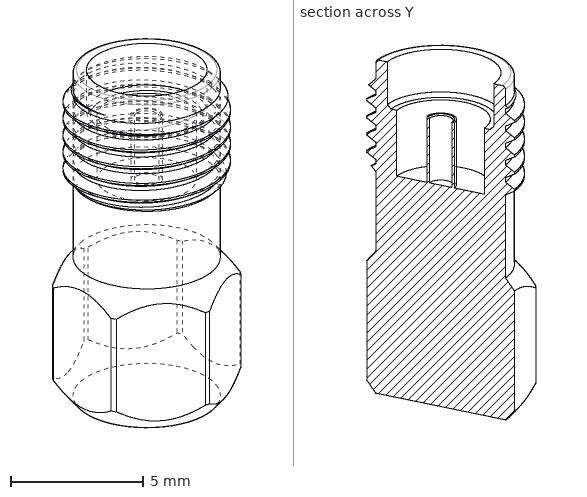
import cadquery as cq
import math

TOTAL_HEIGHT = 13.72
HEX_HEIGHT = 5.85
THREAD_BOTTOM = 9.11
THREAD_TOP = 12.92

ACROSS_FLATS = 6.35
HEX_CORNER_DIAMETER = 7.22
HEX_CHAMFER_ANGLE = 50.0

NECK_DIAMETER = 5.58
RIM_FILLET = 0.13

THREAD_DIAMETER = ACROSS_FLATS
PITCHES_PER_DIAMETER = 9
THREAD_PITCH = THREAD_DIAMETER / PITCHES_PER_DIAMETER
THREAD_FLANK_ANGLE = 30.0
CREST_LEVEL_AT_X = 9.86
CREST_WIDTH = THREAD_PITCH / 8
CREST_OVERRUN = 0.05
ROOT_OVERLAP = 0.05

BORE_DIAMETER = 4.57
LEDGE_DIAMETER = 4.25
BORE_DEPTH = 1.91
BORE_CHAMFER = (BORE_DIAMETER - LEDGE_DIAMETER) / 2
CAVITY_DIAMETER = 3.76
CAVITY_FLOOR = THREAD_BOTTOM

PIN_DIAMETER = 1.2
PIN_HOLE_DIAMETER = 0.95
PIN_HOLE_CHAMFER = 0.05

NECK_RADIUS = NECK_DIAMETER / 2
THREAD_RADIUS = THREAD_DIAMETER / 2
LEDGE_LEVEL = TOTAL_HEIGHT - BORE_DEPTH


def revolved(points):
    """Solid of revolution about Z from (radius, z) points."""
    return cq.Workplane("XZ").polyline(points).close().revolve(360, (0, 0, 0), (0, 1, 0))


def hexagon():
    """Hexagonal prism with turned corners and a cone at each end."""
    corner_radius = HEX_CORNER_DIAMETER / 2
    chamfer_height = (corner_radius - NECK_RADIUS) * math.tan(math.radians(HEX_CHAMFER_ANGLE))
    prism = cq.Workplane("XY").polygon(6, ACROSS_FLATS, circumscribed=True).extrude(HEX_HEIGHT)
    turned_blank = revolved([
        (0, 0),
        (NECK_RADIUS, 0),
        (corner_radius, chamfer_height),
        (corner_radius, HEX_HEIGHT - chamfer_height),
        (NECK_RADIUS, HEX_HEIGHT),
        (0, HEX_HEIGHT),
    ])
    return prism.intersect(turned_blank)


def neck():
    """Full-height round post with a rounded top rim; its exposed part is the neck."""
    post = cq.Workplane("XY").circle(NECK_RADIUS).extrude(TOTAL_HEIGHT)
    return post.faces(">Z").edges().fillet(RIM_FILLET)


def thread():
    """Helical ridge trimmed to a thread blank with 45 degree ends."""
    flank_slope = math.tan(math.radians(THREAD_FLANK_ANGLE))
    inner_radius = NECK_RADIUS - ROOT_OVERLAP
    outer_radius = THREAD_RADIUS + CREST_OVERRUN
    inner_half_width = CREST_WIDTH / 2 + (THREAD_RADIUS - inner_radius) * flank_slope
    outer_half_width = CREST_WIDTH / 2 - CREST_OVERRUN * flank_slope

    def one_turn(level):
        """One turn of untrimmed ridge, its crest starting at a level on the +X side."""
        helix = cq.Wire.makeHelix(THREAD_PITCH, THREAD_PITCH, NECK_RADIUS, cq.Vector(0, 0, level))
        section = cq.Workplane("XZ").polyline([
            (inner_radius, level - inner_half_width),
            (outer_radius, level - outer_half_width),
            (outer_radius, level + outer_half_width),
            (inner_radius, level + inner_half_width),
        ])
        return section.close().sweep(cq.Workplane(helix), isFrenet=True)

    end_chamfer = THREAD_RADIUS - NECK_RADIUS
    blank = revolved([
        (0, THREAD_BOTTOM),
        (NECK_RADIUS, THREAD_BOTTOM),
        (THREAD_RADIUS, THREAD_BOTTOM + end_chamfer),
        (THREAD_RADIUS, THREAD_TOP - end_chamfer),
        (NECK_RADIUS, THREAD_TOP),
        (0, THREAD_TOP),
    ])

    turns_below = math.ceil((CREST_LEVEL_AT_X - THREAD_BOTTOM) / THREAD_PITCH)
    turns_above = math.ceil((THREAD_TOP - CREST_LEVEL_AT_X) / THREAD_PITCH)
    ridge = cq.Workplane("XY")
    for turn in range(-turns_below, turns_above):
        level = CREST_LEVEL_AT_X + turn * THREAD_PITCH
        ridge = ridge.add(one_turn(level).intersect(blank))
    return ridge.combine()


def socket():
    """Material removed from the top: chamfered bore, then a narrower cavity."""
    return revolved([
        (0, CAVITY_FLOOR),
        (CAVITY_DIAMETER / 2, CAVITY_FLOOR),
        (CAVITY_DIAMETER / 2, LEDGE_LEVEL),
        (LEDGE_DIAMETER / 2, LEDGE_LEVEL),
        (BORE_DIAMETER / 2, LEDGE_LEVEL + BORE_CHAMFER),
        (BORE_DIAMETER / 2, TOTAL_HEIGHT),
        (0, TOTAL_HEIGHT),
    ])


def contact_pin():
    """Tubular pin, level with the ledge, with a chamfered hole mouth."""
    hole_radius = PIN_HOLE_DIAMETER / 2
    return revolved([
        (hole_radius, CAVITY_FLOOR),
        (PIN_DIAMETER / 2, CAVITY_FLOOR),
        (PIN_DIAMETER / 2, LEDGE_LEVEL),
        (hole_radius + PIN_HOLE_CHAMFER, LEDGE_LEVEL),
        (hole_radius, LEDGE_LEVEL - PIN_HOLE_CHAMFER),
    ])


result = hexagon().union(neck()).union(thread()).cut(socket()).union(contact_pin())